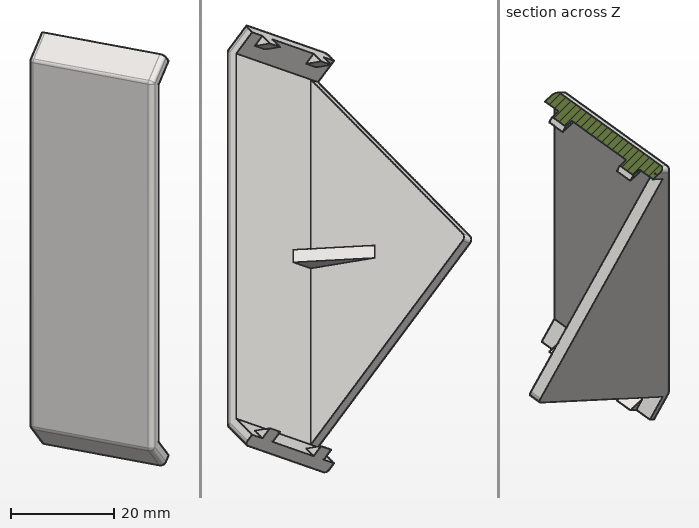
import cadquery as cq
import math

width = 28.0
height = 83.85
depth = 38.51
thickness = 2.5
edge_radius = 1.0

wall_corner_radius = 1.0

hook_rise = 2.5
hook_width = 3.5
hook_inset = 3.5

gusset_width = 6.0
gusset_depth = 15.0

half_height = height / 2
lip_angle = math.radians(45)
wall_apex_y = depth + wall_corner_radius * (math.sqrt(2) - 1)
inner_bend_z = wall_apex_y - thickness
bend_z = inner_bend_z + thickness * math.tan(lip_angle / 2)
lip_reach = (half_height - bend_z) * math.tan(lip_angle)
lip_step = thickness * math.sin(lip_angle)
lip_inner_y = lip_reach + lip_step
lip_inner_z = half_height - lip_step
hook_step = hook_rise * math.sin(lip_angle)


def extrude_along_x(points, start_x, length):
    """Prism with a closed outline of (Y, Z) points, starting at start_x."""
    return cq.Workplane("YZ", origin=(start_x, 0, 0)).polyline(points).close().extrude(length)


def make_bent_plate():
    """Front plate with a lip bent back at each end and rounded front edges."""
    upper_outline = [
        (thickness, inner_bend_z),
        (lip_inner_y, lip_inner_z),
        (lip_reach, half_height),
        (0, bend_z),
    ]
    lower_outline = [(y, -z) for y, z in reversed(upper_outline)]
    plate = extrude_along_x(upper_outline + lower_outline, 0, width)

    side_x = (0, width)
    lip_middle_y = lip_reach / 2
    lip_middle_z = (bend_z + half_height) / 2
    rounded_edges = [(width / 2, 0, bend_z), (width / 2, 0, -bend_z)]
    for x in side_x:
        rounded_edges.append((x, 0, 0))
        rounded_edges.append((x, lip_middle_y, lip_middle_z))
        rounded_edges.append((x, lip_middle_y, -lip_middle_z))
    edges = cq.Workplane()
    for point in rounded_edges:
        edges = edges.add(plate.edges(cq.selectors.NearestToPointSelector(point)))
    return cq.Workplane(plate.val().fillet(edge_radius, edges.vals()))


def make_side_wall():
    """Triangular wall standing on the inner face of the plate at X = 0."""
    outline = [
        (thickness, inner_bend_z),
        (wall_apex_y, 0),
        (thickness, -inner_bend_z),
    ]
    wall = extrude_along_x(outline, 0, thickness)
    return wall.edges("|X and >Y").fillet(wall_corner_radius)


def make_hook(start_x, side):
    """Hook at the tip of the upper (side = 1) or lower (side = -1) lip."""
    tip_z = lip_inner_z - hook_step
    outline = [
        (lip_inner_y, side * lip_inner_z),
        (lip_inner_y + hook_step, side * tip_z),
        (lip_inner_y - hook_step, side * tip_z),
    ]
    return extrude_along_x(outline, start_x, hook_width)


def make_gusset():
    """Horizontal triangle in the corner between plate and side wall."""
    outline = [
        (thickness, thickness),
        (thickness + gusset_width, thickness),
        (thickness, thickness + gusset_depth),
    ]
    return cq.Workplane("XY").polyline(outline).close().extrude(thickness / 2, both=True)


result = make_bent_plate().union(make_side_wall()).union(make_gusset())
for hook_x in (hook_inset, width - hook_inset - hook_width):
    for lip_side in (1, -1):
        result = result.union(make_hook(hook_x, lip_side))